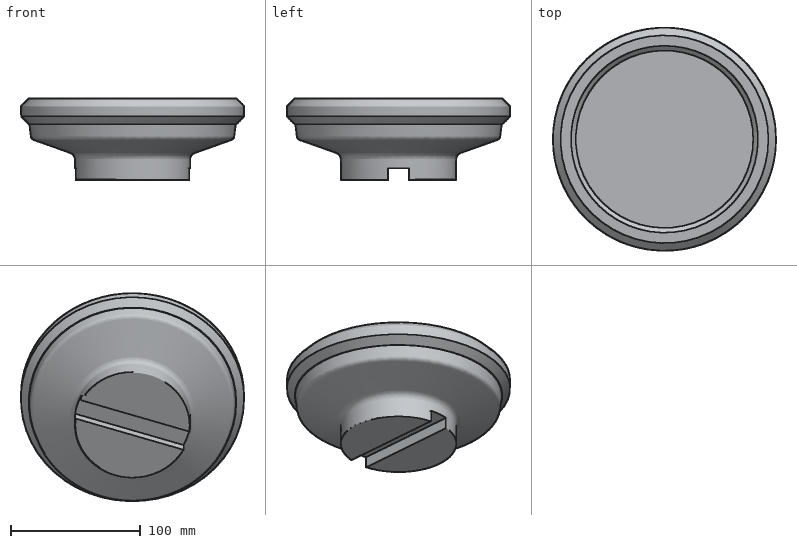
import cadquery as cq
import math

total_height = 63.0
rim_radius = 86.0

ring_section = 20.0
ring_chamfer = 6.0
ring_shoulder_fillet = 1.4
ring_inner_radius = rim_radius - ring_section
ring_bottom_z = total_height - ring_section

floor_depth = 3.7
wall_top_radius = 79.6
wall_taper = math.radians(7)
underside_slope = math.radians(19.6)
wall_corner_drop = 31.4
wall_corner_fillet = 3.7
boss_radius = 44.5
boss_root_fillet = 5.0
boss_edge_fillet = 0.5

slot_width = 16.0
slot_depth = 9.0


def revolve_profile(points):
    """Revolve a closed (radius, height) outline about Z."""
    return cq.Workplane("XZ").polyline(points).close().revolve(360, (0, 0), (0, 1))


def fillet_circle(body, radius, height, fillet):
    """Round the circular edge with the given radius and height."""
    tolerance = 0.01

    def is_wanted(edge):
        return abs(edge.radius() - radius) < tolerance and abs(edge.Center().z - height) < tolerance

    return body.edges("%CIRCLE").filter(is_wanted).fillet(fillet)


def make_ring():
    inner_flat = ring_inner_radius + ring_chamfer
    outer_flat = rim_radius - ring_chamfer
    shoulder_z = total_height - ring_chamfer
    outline = [
        (inner_flat, total_height),
        (outer_flat, total_height),
        (rim_radius, shoulder_z),
        (rim_radius, ring_bottom_z + ring_chamfer),
        (outer_flat, ring_bottom_z),
        (inner_flat, ring_bottom_z),
        (ring_inner_radius, ring_bottom_z + ring_chamfer),
        (ring_inner_radius, total_height - ring_chamfer),
    ]
    ring = revolve_profile(outline)
    return fillet_circle(ring, rim_radius, shoulder_z, ring_shoulder_fillet)


def make_bowl(ring):
    floor_z = total_height - floor_depth
    wall_corner_z = total_height - wall_corner_drop
    wall_bottom_radius = wall_top_radius - (ring_bottom_z - wall_corner_z) * math.tan(wall_taper)
    boss_top_z = wall_corner_z - (wall_bottom_radius - boss_radius) * math.tan(underside_slope)
    floor_radius = ring_inner_radius + ring_chamfer - floor_depth
    outline = [
        (0, floor_z),
        (floor_radius, floor_z),
        (wall_top_radius, ring_bottom_z),
        (wall_bottom_radius, wall_corner_z),
        (boss_radius, boss_top_z),
        (boss_radius, 0),
        (0, 0),
    ]
    bowl = revolve_profile(outline)
    bowl = fillet_circle(bowl, wall_bottom_radius, wall_corner_z, wall_corner_fillet)
    bowl = fillet_circle(bowl, boss_radius, boss_top_z, boss_root_fillet)
    bowl = fillet_circle(bowl, boss_radius, 0, boss_edge_fillet)
    slot = cq.Workplane("XY").box(2 * rim_radius, slot_width, slot_depth, centered=(True, True, False))
    return bowl.cut(slot).cut(ring)


ring = make_ring()
bowl = make_bowl(ring)
result = cq.Compound.makeCompound([ring.val(), bowl.val()])